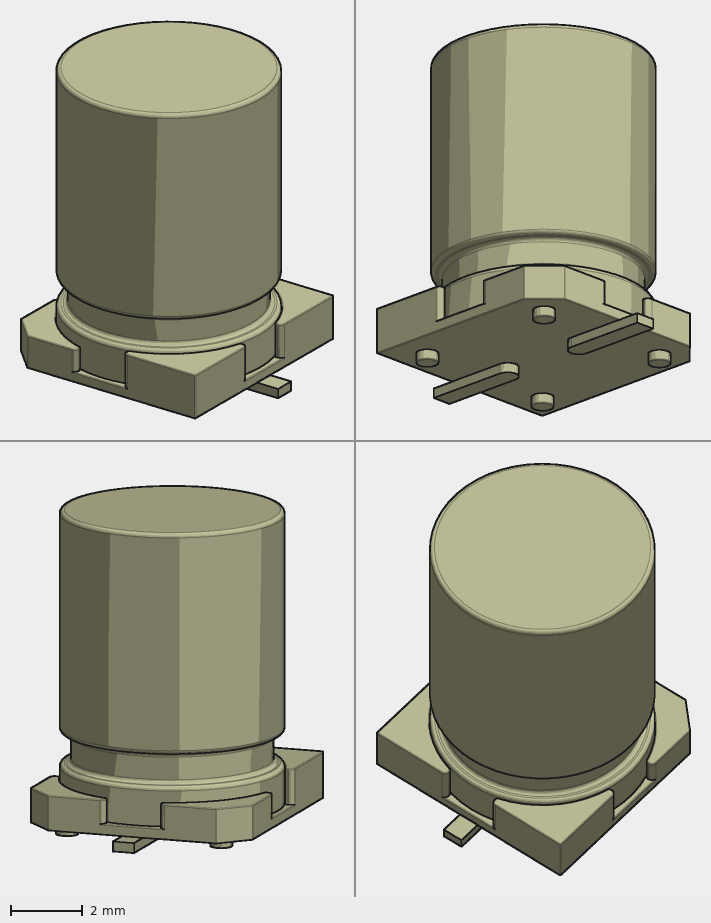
import cadquery as cq
import math

TOTAL_HEIGHT = 9.0
TOTAL_LENGTH = 8.0
BASE_WIDTH = 6.6

CAN_DIAMETER = 6.3
GROOVE_DIAMETER = 5.67
GROOVE_BOTTOM = 1.755
GROOVE_TOP = 2.655
CAN_ROUNDING = 0.13

STANDOFF = 0.29
FLOOR_TOP = 0.6
LOW_POST_TOP = 1.3
HIGH_POST_TOP = 1.64
CORNER_CHAMFER = 0.8
SEAT_CLEARANCE = 0.02
NOTCH_WIDTH = 1.64
POST_TIP_ROUNDING = 0.14
POST_INNER_ROUNDING = 0.09
BASE_EDGE_ROUNDING = 0.03

LEAD_WIDTH = 0.63
LEAD_INNER_END = 1.09
FOOT_DIAMETER = 0.63
FOOT_OFFSET = 2.295
FOOT_EDGE_ROUNDING = 0.03

TOLERANCE = 0.001

half_base = BASE_WIDTH / 2


def is_rounded_can_edge(edge):
    """True for every circular can edge except the one resting on the floor."""
    return edge.Center().z > FLOOR_TOP + TOLERANCE


def make_can():
    """Round can with a rolled groove near its lower end."""
    can_radius = CAN_DIAMETER / 2
    groove_radius = GROOVE_DIAMETER / 2
    profile = (
        cq.Workplane("XZ")
        .moveTo(0, FLOOR_TOP)
        .lineTo(can_radius, FLOOR_TOP)
        .lineTo(can_radius, GROOVE_BOTTOM)
        .lineTo(groove_radius, GROOVE_BOTTOM)
        .lineTo(groove_radius, GROOVE_TOP)
        .lineTo(can_radius, GROOVE_TOP)
        .lineTo(can_radius, TOTAL_HEIGHT)
        .lineTo(0, TOTAL_HEIGHT)
        .close()
    )
    can = profile.revolve(360, (0, 0, 0), (0, 1, 0))
    return can.edges("%CIRCLE").filter(is_rounded_can_edge).fillet(CAN_ROUNDING)


def is_on_radius(edge, radius):
    """True for an edge whose middle lies at this distance from the can axis."""
    center = edge.Center()
    return math.isclose(math.hypot(center.x, center.y), radius, abs_tol=TOLERANCE)


def base_blank(bottom, top):
    """Plate with the base outline: a square with two cut corners and softened vertical edges."""
    return (
        cq.Workplane("XY", origin=(0, 0, bottom))
        .rect(BASE_WIDTH, BASE_WIDTH)
        .extrude(top - bottom)
        .edges("|Z and <X")
        .chamfer(CORNER_CHAMFER)
        .edges("|Z")
        .fillet(BASE_EDGE_ROUNDING)
    )


def make_notch():
    """Cutter for the notch in the +Y side, flared where it meets the side face."""
    half_notch = NOTCH_WIDTH / 2
    mouth = half_notch + POST_TIP_ROUNDING
    flare_start = half_base - POST_TIP_ROUNDING
    return (
        cq.Workplane("XY")
        .moveTo(-half_notch, 0)
        .lineTo(half_notch, 0)
        .lineTo(half_notch, flare_start)
        .radiusArc((mouth, half_base), POST_TIP_ROUNDING)
        .lineTo(-mouth, half_base)
        .radiusArc((-half_notch, flare_start), POST_TIP_ROUNDING)
        .close()
        .extrude(TOTAL_HEIGHT)
    )


def make_posts():
    """Four corner posts around the round seat of the can; the two on the -X side are lower."""
    posts = base_blank(FLOOR_TOP - BASE_EDGE_ROUNDING, HIGH_POST_TOP)
    step = cq.Workplane("XY", origin=(-half_base / 2, 0, LOW_POST_TOP))
    posts = posts.cut(step.rect(half_base, BASE_WIDTH).extrude(HIGH_POST_TOP))

    seat_radius = CAN_DIAMETER / 2 + SEAT_CLEARANCE
    posts = posts.cut(cq.Workplane("XY").circle(seat_radius).extrude(TOTAL_HEIGHT))
    notch = make_notch()
    for angle in (0, 90, 180, 270):
        posts = posts.cut(notch.rotate((0, 0, 0), (0, 0, 1), angle))

    posts = posts.edges("|Z").filter(lambda edge: is_on_radius(edge, seat_radius)).fillet(POST_INNER_ROUNDING)
    return posts.faces("+Z").edges().fillet(BASE_EDGE_ROUNDING)


def make_base():
    """Base: a floor with rounded edges and the corner posts on it."""
    floor = base_blank(STANDOFF, FLOOR_TOP).faces("<Z or >Z").edges().fillet(BASE_EDGE_ROUNDING)
    return floor.union(make_posts())


def make_lead(side):
    """Flat lead with a round inner end; side is +1 or -1 along X."""
    outer_end = TOTAL_LENGTH / 2
    round_center = LEAD_INNER_END + LEAD_WIDTH / 2
    half_width = LEAD_WIDTH / 2
    return (
        cq.Workplane("XY")
        .moveTo(side * outer_end, -half_width)
        .lineTo(side * round_center, -half_width)
        .threePointArc((side * LEAD_INNER_END, 0), (side * round_center, half_width))
        .lineTo(side * outer_end, half_width)
        .close()
        .extrude(STANDOFF)
    )


def make_feet():
    """Four round feet under the corners of the base."""
    return (
        cq.Workplane("XY")
        .rect(2 * FOOT_OFFSET, 2 * FOOT_OFFSET, forConstruction=True)
        .vertices()
        .circle(FOOT_DIAMETER / 2)
        .extrude(STANDOFF)
        .faces("<Z")
        .edges()
        .fillet(FOOT_EDGE_ROUNDING)
    )


result = make_base().union(make_can()).union(make_feet())
for lead_side in (-1, 1):
    result = result.union(make_lead(lead_side))